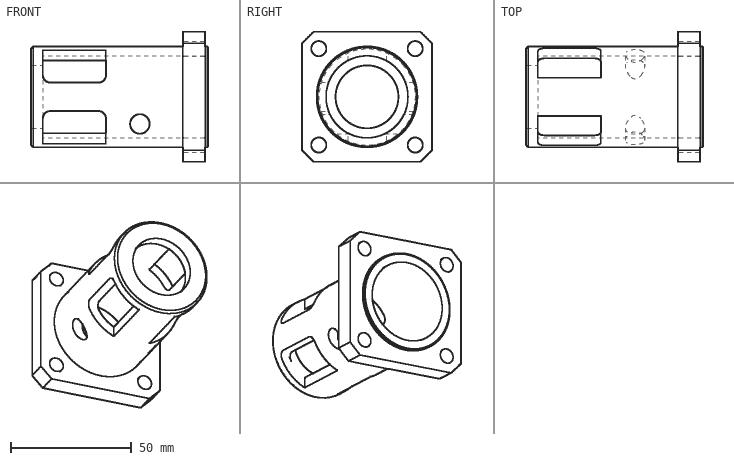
import cadquery as cq

length = 73.5
tube_diameter = 42.0
front_chamfer_length = 0.9
front_chamfer_depth = 1.0
rear_chamfer_length = 0.3
rear_chamfer_depth = 0.5

bore_diameter = 34.0
lip_diameter = 26.0
lip_length = 5.0

flange_side = 54.0
flange_start = 63.05
flange_thickness = 9.2
flange_corner = 4.85
bolt_spacing = 40.0
bolt_diameter = 6.2

window_start = 5.0
window_length = 26.1
window_wall_y = 8.0
window_floor_z = 5.95
window_radius = 3.0

cross_hole_diameter = 8.0
cross_hole_x = 45.2
cross_hole_z = -11.25


def make_tube():
    """Solid cylinder, revolved about X, with a chamfer at each end."""
    radius = tube_diameter / 2
    return (
        cq.Workplane("XY")
        .lineTo(0, radius - front_chamfer_depth)
        .lineTo(front_chamfer_length, radius)
        .lineTo(length - rear_chamfer_length, radius)
        .lineTo(length, radius - rear_chamfer_depth)
        .lineTo(length, 0)
        .close()
        .revolve(360, (0, 0, 0), (1, 0, 0))
    )


def make_flange():
    flange = (
        cq.Workplane("YZ", origin=(flange_start, 0, 0))
        .rect(flange_side, flange_side)
        .extrude(flange_thickness)
        .edges("|X")
        .chamfer(flange_corner)
    )
    return (
        flange.faces("<X")
        .workplane(origin=(flange_start, 0, 0))
        .rect(bolt_spacing, bolt_spacing, forConstruction=True)
        .vertices()
        .hole(bolt_diameter)
    )


def make_bore():
    lip_hole = cq.Workplane("YZ").circle(lip_diameter / 2).extrude(length)
    bore = (
        cq.Workplane("YZ", origin=(lip_length, 0, 0))
        .circle(bore_diameter / 2)
        .extrude(length - lip_length)
    )
    return lip_hole.union(bore)


def make_window():
    """Cutter for the +Y +Z quadrant, reaching past the outside of the tube."""
    reach = tube_diameter / 2
    return (
        cq.Workplane("XY")
        .box(window_length, reach, reach, centered=False)
        .edges("|Y and <Z")
        .fillet(window_radius)
        .translate((window_start, window_wall_y, window_floor_z))
    )


def make_cross_hole():
    return (
        cq.Workplane("XZ", origin=(cross_hole_x, 0, cross_hole_z))
        .circle(cross_hole_diameter / 2)
        .extrude(tube_diameter / 2, both=True)
    )


result = make_tube().union(make_flange()).cut(make_bore())

upper_window = make_window()
lower_window = upper_window.mirror("XY")
for window in (upper_window, lower_window):
    result = result.cut(window).cut(window.mirror("XZ"))

result = result.cut(make_cross_hole())